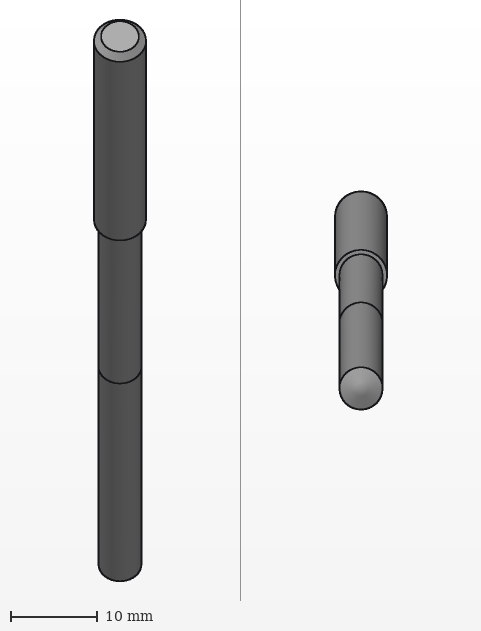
import cadquery as cq

total_length = 104.0

head_diameter = 6.0
head_length = 35.8
head_chamfer = 0.8

shank_diameter = 5.0
joint_height = 39.5

tip_height = 0.8

head_base_height = total_length - head_length
neck_length = head_base_height - joint_height
shank_radius = shank_diameter / 2


def make_holder():
    """Stepped round holder: neck from the joint up, then the head."""
    neck = cq.Workplane("XY").workplane(offset=joint_height).circle(shank_radius).extrude(neck_length)
    head = (
        cq.Workplane("XY")
        .workplane(offset=head_base_height)
        .circle(head_diameter / 2)
        .extrude(head_length)
        .faces(">Z")
        .chamfer(head_chamfer)
    )
    return neck.union(head)


def make_rod():
    """Round rod with a conical point, revolved from its half profile in XZ."""
    half_profile = (
        cq.Workplane("XZ")
        .moveTo(0, 0)
        .lineTo(shank_radius, tip_height)
        .lineTo(shank_radius, joint_height)
        .lineTo(0, joint_height)
        .close()
    )
    return half_profile.revolve(360, (0, 0, 0), (0, 1, 0))


holder = make_holder()
rod = make_rod()

result = cq.Compound.makeCompound([holder.val(), rod.val()])